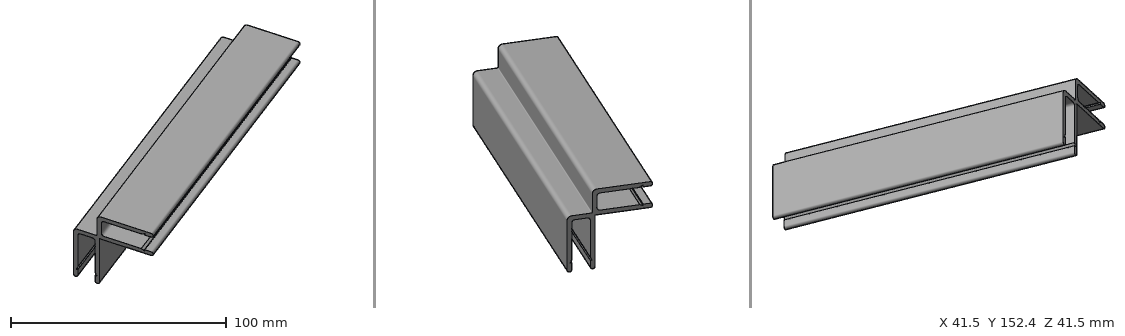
import cadquery as cq

length = 152.4
section_size = 41.5
channel_width = 13.5
wall = 2.3
channel_step = 12.2
outer_radius = 2.3
inner_radius = 1.5
corner_radius = 0.5
groove_setback = 4.5
groove_width = 1.7
groove_depth = 0.8

half = section_size / 2
channel_height = section_size - channel_step
tip_radius = wall / 2


def box(x_min, x_max, z_min, z_max):
    """Full-length bar with the given X and Z limits."""
    return (
        cq.Workplane("XY")
        .box(x_max - x_min, length, z_max - z_min, centered=False)
        .translate((x_min, -length / 2, z_min))
    )


def groove(face_x, tip_z, outward):
    """Triangular groove cut into a slot wall, square on the side nearest the tip."""
    square_z = tip_z + groove_setback
    return (
        cq.Workplane("XZ", origin=(0, length / 2, 0))
        .moveTo(face_x, square_z)
        .lineTo(face_x + outward * groove_depth, square_z)
        .lineTo(face_x, square_z + groove_width)
        .close()
        .extrude(length)
    )


def downward_channel():
    """U channel on the -X side, open toward -Z, with rounded leg tips."""
    left = -half
    right = left + channel_width
    tip = -half
    top = tip + channel_height
    body = box(left, right, tip, top)
    body = body.edges("|Y and >Z and <X").fillet(outer_radius)

    slot = box(left + wall, right - wall, tip, top - wall)
    slot = slot.edges("|Y and >Z").fillet(inner_radius)
    body = body.cut(slot)
    for leg_x in (left, right - wall):
        leg_end = box(leg_x, leg_x + wall, tip, tip + tip_radius)
        tip_round = (
            cq.Workplane("XZ", origin=(leg_x + tip_radius, length / 2, tip + tip_radius))
            .circle(tip_radius)
            .extrude(length)
        )
        body = body.cut(leg_end).union(tip_round)

    body = body.cut(groove(left + wall, tip, -1))
    return body.cut(groove(right - wall, tip, 1))


down = downward_channel()
sideways = down.mirror(cq.Vector(1, 0, 1), (0, 0, 0))
profile = down.union(sideways).clean()

step_corner = cq.selectors.NearestToPointSelector((channel_step - half, 0, half - channel_step))
result = profile.edges("|Y").edges(step_corner).fillet(corner_radius)